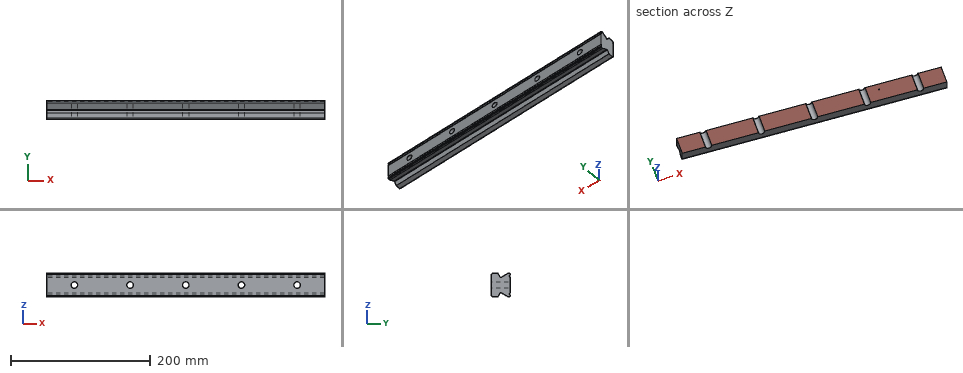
import cadquery as cq
import math

length = 400.0
height = 27.5
width = 34.0
half_width = width / 2

hole_count = 5
hole_pitch = 80.0
hole_diameter = 9.0

base_chamfer = 2.0
base_top_y = 9.8
base_slope = math.radians(60)
waist_depth = 5.8
lip_start_y = 24.1
lip_slope = math.radians(31.5)
flank_bend_y = 21.6
flank_slope = math.radians(30)
lip_chamfer = 1.1

waist_start_y = base_top_y + waist_depth / math.tan(base_slope)
flank_bend_depth = (lip_start_y - flank_bend_y) * math.tan(lip_slope)
waist_end_y = flank_bend_y - (waist_depth - flank_bend_depth) / math.tan(flank_slope)

crown_groove_offset = 2.5
crown_groove_width = 3.2
crown_groove_depth = 1.2


def section_plane():
    """Cross-section plane at the -X end: local x is Y, local y is Z."""
    return cq.Workplane("YZ", origin=(-length / 2, 0, 0))


def side_line(sign):
    """Cross-section outline of one side, from mounting face to crown face."""
    points = [
        (0, base_chamfer),
        (base_chamfer, 0),
        (base_top_y, 0),
        (waist_start_y, waist_depth),
        (waist_end_y, waist_depth),
        (flank_bend_y, flank_bend_depth),
        (lip_start_y, 0),
        (height - lip_chamfer, 0),
        (height, lip_chamfer),
    ]
    return [(y, sign * (half_width - depth)) for y, depth in points]


def rail_body():
    """Symmetric rail section extruded along X, centred on X and Z."""
    outline = side_line(1) + side_line(-1)[::-1]
    return section_plane().polyline(outline).close().extrude(length)


def crown_groove(sign):
    """Cutter for the groove near one edge of the crown face."""
    outer = sign * (half_width - crown_groove_offset)
    inner = outer - sign * crown_groove_width
    bottom = (height - crown_groove_depth, (outer + inner) / 2)
    return (
        section_plane()
        .moveTo(height, outer)
        .threePointArc(bottom, (height, inner))
        .close()
        .extrude(length)
    )


def mounting_holes():
    """Row of through holes from the mounting face to the crown face."""
    first_x = -hole_pitch * (hole_count - 1) / 2
    centres = [(first_x + i * hole_pitch, 0) for i in range(hole_count)]
    return (
        cq.Workplane("XZ")
        .pushPoints(centres)
        .circle(hole_diameter / 2)
        .extrude(-height)
    )


result = rail_body()
for side in (1, -1):
    result = result.cut(crown_groove(side))
result = result.cut(mounting_holes())